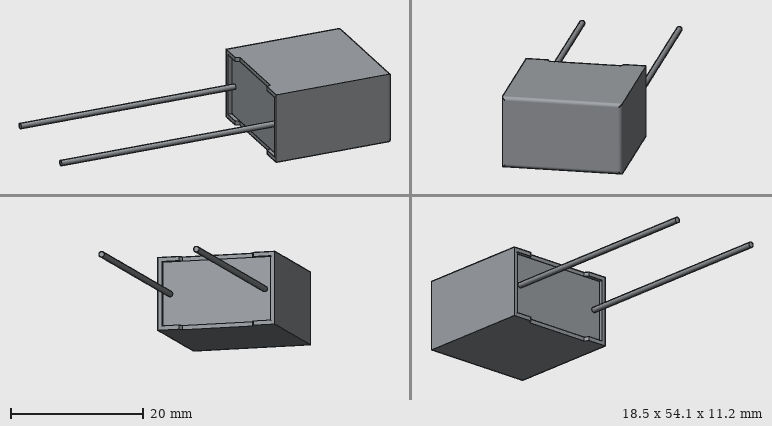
import cadquery as cq

case_width = 18.5
case_height = 11.2
case_length = 19.15
overall_length = 54.1

wall = 0.65
back_edge_radius = 0.55
notch_depth = 0.65
notch_mouth_width = 11.8
notch_floor_width = 11.05

lead_diameter = 0.85
lead_spacing = 15.0

rim_y = 0.0
fill_face_y = rim_y + notch_depth
cavity_end_y = case_length - wall
lead_tip_y = case_length - overall_length

cavity_width = case_width - 2 * wall
cavity_height = case_height - 2 * wall


def block(width, height, start_y, end_y):
    """Rectangular block centred on the Y axis, between two Y positions."""
    length = end_y - start_y
    return cq.Workplane("XY").box(width, length, height).translate((0, start_y + length / 2, 0))


def make_rim_notch():
    """Trapezoidal cutter that notches the rim of the top and bottom walls."""
    return (
        cq.Workplane("XY")
        .polyline([
            (-notch_mouth_width / 2, rim_y),
            (notch_mouth_width / 2, rim_y),
            (notch_floor_width / 2, fill_face_y),
            (-notch_floor_width / 2, fill_face_y),
        ])
        .close()
        .extrude(case_height / 2, both=True)
    )


def make_case():
    """Box open at the front, with rounded back edges and a notched rim."""
    shell = block(case_width, case_height, rim_y, case_length)
    shell = shell.faces(">Y").edges().fillet(back_edge_radius)
    cavity = block(cavity_width, cavity_height, rim_y, cavity_end_y)
    return shell.cut(cavity).cut(make_rim_notch())


def make_fill():
    """Potting fill that occupies the cavity up to the notch floors."""
    return block(cavity_width, cavity_height, fill_face_y, cavity_end_y)


def make_lead(x):
    """Straight round wire running forward from the face of the fill."""
    return (
        cq.Workplane("XZ", origin=(x, fill_face_y, 0))
        .circle(lead_diameter / 2)
        .extrude(fill_face_y - lead_tip_y)
    )


case = make_case()
fill = make_fill()
leads = [make_lead(side * lead_spacing / 2) for side in (-1, 1)]

result = cq.Compound.makeCompound([case.val(), fill.val(), *[lead.val() for lead in leads]])